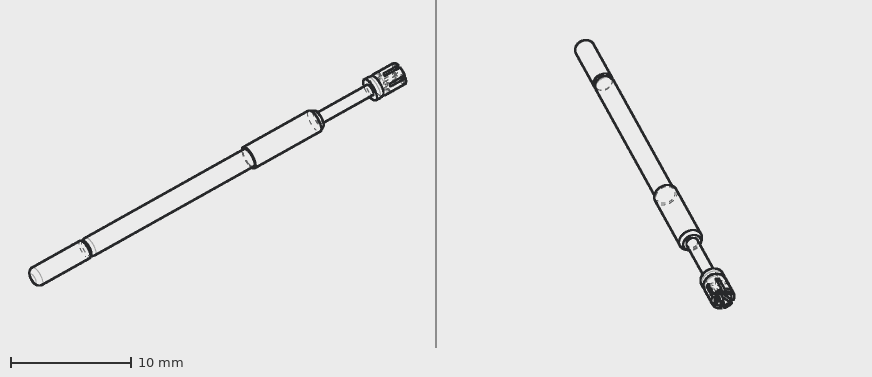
import cadquery as cq
import math

total_length = 37.3
head_length = 3.0
shaft_length = 5.25
collar_length = 7.1
tail_length = 5.25
crimp_length = 0.55

head_bottom = total_length - head_length
collar_top = head_bottom - shaft_length
collar_bottom = collar_top - collar_length
crimp_top = tail_length + crimp_length

head_diameter = 2.0
shaft_diameter = 1.0
collar_diameter = 2.0
barrel_diameter = 1.68

head_radius = head_diameter / 2
shaft_radius = shaft_diameter / 2
collar_radius = collar_diameter / 2
barrel_radius = barrel_diameter / 2

tail_fillet = 0.4
collar_mouth_diameter = 1.55
collar_taper_length = 0.4

crimp_depth = 0.1
crimp_flank_length = 0.2

head_groove_setback = 2.28
head_groove_centre = total_length - head_groove_setback
head_groove_width = 0.67
head_groove_depth = 0.055

slot_count = 6
slot_width = 0.25
slot_depth = 1.53

cup_diameter = 1.5
cup_depth = cup_diameter / 2


def shoulder_middle(start_radius, start_y, depth, length):
    """Point halfway along the length of a shallow convex shoulder that leaves a cylinder tangentially.

    The shoulder sinks by depth over length; a negative length runs towards the tail.
    """
    arc_radius = (length**2 + depth**2) / (2 * depth)
    half_length = length / 2
    sink = arc_radius - math.sqrt(arc_radius**2 - half_length**2)
    return (start_radius - sink, start_y + half_length)


def turned_body():
    """Revolve the stepped outline about the Y axis."""
    crimp_floor = (barrel_radius - crimp_depth, tail_length + crimp_flank_length)
    crimp_shoulder_length = crimp_length - crimp_flank_length
    crimp_middle = shoulder_middle(barrel_radius, crimp_top, crimp_depth, -crimp_shoulder_length)

    half_width = head_groove_width / 2
    groove_lower = head_groove_centre - half_width
    groove_upper = head_groove_centre + half_width
    groove_floor = (head_radius - head_groove_depth, head_groove_centre)
    lower_middle = shoulder_middle(head_radius, groove_lower, head_groove_depth, half_width)
    upper_middle = shoulder_middle(head_radius, groove_upper, head_groove_depth, -half_width)

    outline = (
        cq.Workplane("XY")
        .lineTo(barrel_radius, 0)
        .lineTo(barrel_radius, tail_length)
        .lineTo(*crimp_floor)
        .threePointArc(crimp_middle, (barrel_radius, crimp_top))
        .lineTo(barrel_radius, collar_bottom)
        .lineTo(collar_radius, collar_bottom)
        .lineTo(collar_radius, collar_top - collar_taper_length)
        .lineTo(collar_mouth_diameter / 2, collar_top)
        .lineTo(shaft_radius, collar_top)
        .lineTo(shaft_radius, head_bottom)
        .lineTo(head_radius, head_bottom)
        .lineTo(head_radius, groove_lower)
        .threePointArc(lower_middle, groove_floor)
        .threePointArc(upper_middle, (head_radius, groove_upper))
        .lineTo(head_radius, total_length)
        .lineTo(cup_diameter / 2, total_length)
        .lineTo(0, total_length - cup_depth)
        .close()
    )
    body = outline.revolve(360, (0, 0), (0, 1))
    return body.faces("<Y").edges().fillet(tail_fillet)


def crown_slots():
    """Flat-bottomed slots across the full head diameter, spaced evenly around the Y axis."""
    slots = cq.Workplane("XY")
    for index in range(slot_count // 2):
        slot = cq.Workplane("XY").box(slot_width, slot_depth, head_diameter)
        slot = slot.translate((0, total_length - slot_depth / 2, 0))
        slots = slots.add(slot.rotate((0, 0, 0), (0, 1, 0), index * 360 / slot_count))
    return slots.combine()


result = turned_body().cut(crown_slots())